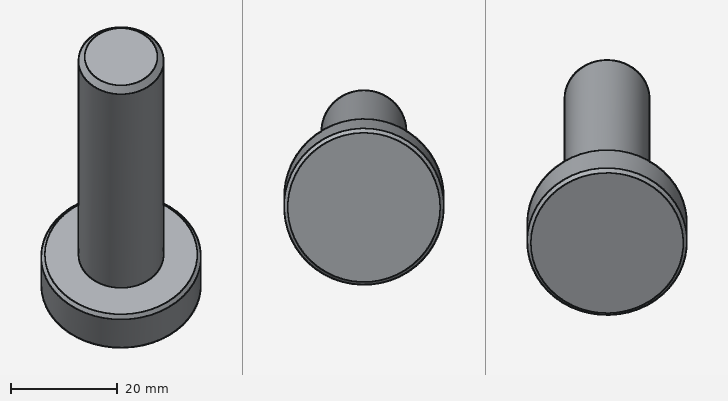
import cadquery as cq

total_height = 70.0
head_diameter = 30.0
head_height = 10.0
head_chamfer = 0.7
shank_diameter = 16.0
shank_chamfer = 1.2


def chamfered_head():
    """Round head standing on the XY plane, chamfered on both rims."""
    head = cq.Workplane("XY").circle(head_diameter / 2).extrude(head_height)
    return head.faces("<Z or >Z").edges().chamfer(head_chamfer)


def chamfered_shank():
    """Plain shank rising from the base to the full height, chamfered at its tip."""
    shank = cq.Workplane("XY").circle(shank_diameter / 2).extrude(total_height)
    return shank.faces(">Z").edges().chamfer(shank_chamfer)


result = chamfered_head().union(chamfered_shank())